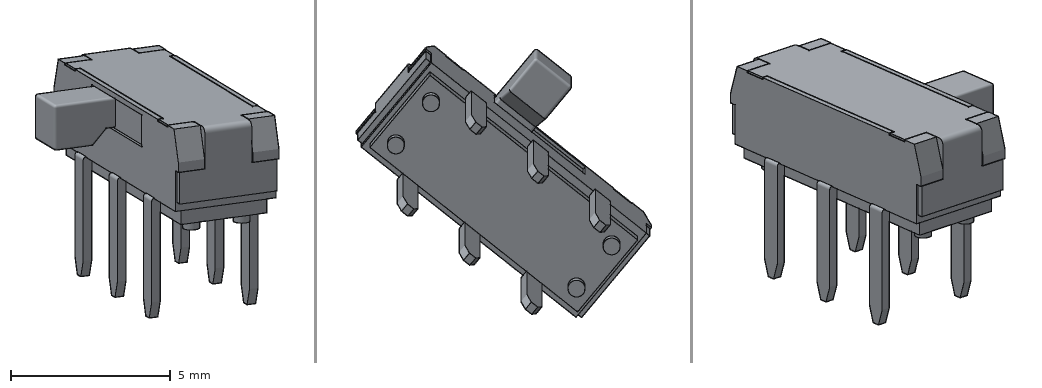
import cadquery as cq


clearance = 0.023

total_length = 9.1
shell_depth = 3.49
shell_height = 2.67
shell_lower_length = 8.68
ear_top_length = 8.46
ear_bottom_drop = 1.34
ear_taper_drop = 1.02
ear_inner_x = 3.76
ear_inner_y = 0.84

core_length = 9.045
core_depth = 3.385
core_neck_depth = 2 * (ear_inner_y - clearance)
core_bottom_drop = 2.38
core_edge_radius = 0.2

groove_depth = 0.06
rail_length = 6.03
rail_thickness = 0.18

base_length = 8.39
base_depth = 2.985
base_height = 0.5
peg_diameter = 0.54
peg_length = 0.33
peg_spacing_x = 7.3
peg_spacing_y = 1.75

window_length = 3.67
window_center_x = 0.04
window_height = 1.05
window_top_drop = 0.17
window_depth = 0.1
knob_width = 1.48
knob_center_x = -1.01
knob_tip_y = -3.75
knob_top_drop = 0.2
knob_height = 1.48
knob_neck_height = 0.99
knob_slope_start_y = -1.94
knob_slope_end_y = -2.41
knob_edge_radius = 0.09
knob_embed_depth = 0.1

pin_pitch = 2.5
pin_width = 0.61
pin_tip_width = 0.255
pin_thickness = 0.3
pin_span = 3.695
pin_bottom_z = -3.94
pin_taper_height = 0.555
pin_bend_top_z = 0.03
pin_bend_radius = 0.12

SIDES = (-1, 1)
half_shell_depth = shell_depth / 2


def block(x_range, y_range, z_range):
    """Axis-aligned box given by the two limits along each axis, in either order."""
    ranges = (x_range, y_range, z_range)
    sizes = [abs(limits[1] - limits[0]) for limits in ranges]
    lowest = [min(limits) for limits in ranges]
    return cq.Workplane("XY").box(*sizes, centered=False).translate(tuple(lowest))


def centered_block(length, depth, bottom_z, top_z):
    return block((-length / 2, length / 2), (-depth / 2, depth / 2), (bottom_z, top_z))


def make_shell():
    """Shell profile with tapered ears, opened between the ears to receive the core."""
    ear_bottom_z = shell_height - ear_bottom_drop
    right_profile = [
        (shell_lower_length / 2, 0),
        (shell_lower_length / 2, ear_bottom_z),
        (total_length / 2, ear_bottom_z),
        (total_length / 2, shell_height - ear_taper_drop),
        (ear_top_length / 2, shell_height),
    ]
    left_profile = [(-x, z) for x, z in reversed(right_profile)]
    shell = (
        cq.Workplane("XZ")
        .polyline(right_profile + left_profile)
        .close()
        .extrude(half_shell_depth, both=True)
    )
    for side in SIDES:
        shell = shell.cut(block(
            (side * (ear_inner_x - clearance), side * total_length / 2),
            (-ear_inner_y, ear_inner_y),
            (ear_bottom_z, shell_height),
        ))
    return shell


def make_core():
    """Rounded neck between the ears, widening to a plate under them."""
    bottom_z = shell_height - core_bottom_drop
    neck = centered_block(core_length, core_neck_depth, bottom_z, shell_height)
    neck = neck.faces(">Z").edges("|Y").fillet(core_edge_radius)
    plate = centered_block(core_length, core_depth, bottom_z, shell_height - ear_bottom_drop)
    return neck.union(plate)


def make_top_grooves():
    """Shallow clearances beside the ears, along the rails and over the open shell edges."""
    z_range = (shell_height - groove_depth, shell_height)
    rail_end_x = rail_length / 2
    rail_inner_y = half_shell_depth - rail_thickness
    grooves = cq.Workplane("XY")
    for side_y in SIDES:
        grooves = grooves.union(block(
            (-rail_end_x - clearance, rail_end_x + clearance),
            (side_y * (rail_inner_y - clearance), side_y * rail_inner_y),
            z_range,
        ))
        for side_x in SIDES:
            beside_ear = block(
                (side_x * (ear_inner_x - clearance), side_x * ear_inner_x),
                (side_y * core_neck_depth / 2, side_y * half_shell_depth),
                z_range,
            )
            rail_end = block(
                (side_x * rail_end_x, side_x * (rail_end_x + clearance)),
                (side_y * (rail_inner_y - clearance), side_y * half_shell_depth),
                z_range,
            )
            shell_edge = block(
                (side_x * rail_end_x, side_x * ear_inner_x),
                (side_y * (half_shell_depth - clearance), side_y * half_shell_depth),
                z_range,
            )
            grooves = grooves.union(beside_ear).union(rail_end).union(shell_edge)
    return grooves


def make_window():
    """Shallow recess in the front wall along which the knob travels."""
    top_z = shell_height - window_top_drop
    return block(
        (window_center_x - window_length / 2, window_center_x + window_length / 2),
        (-half_shell_depth, -half_shell_depth + window_depth),
        (top_z - window_height, top_z),
    )


def make_knob():
    """Actuator knob: a thin neck at the wall that slopes down to a deeper head."""
    top_z = shell_height - knob_top_drop
    root_y = -half_shell_depth + window_depth + knob_embed_depth
    profile = [
        (root_y, top_z),
        (knob_tip_y, top_z),
        (knob_tip_y, top_z - knob_height),
        (knob_slope_end_y, top_z - knob_height),
        (knob_slope_start_y, top_z - knob_neck_height),
        (root_y, top_z - knob_neck_height),
    ]
    knob = (
        cq.Workplane("YZ", origin=(knob_center_x, 0, 0))
        .polyline(profile)
        .close()
        .extrude(knob_width / 2, both=True)
    )
    side_edges = knob.faces("<X or >X").edges("not >Y")
    tip_edges = knob.faces("<Y").edges("|X")
    return knob.newObject(side_edges.vals() + tip_edges.vals()).fillet(knob_edge_radius)


def make_base():
    """Base block with four locating pegs underneath."""
    pegs = (
        cq.Workplane("XY", origin=(0, 0, -base_height))
        .rect(peg_spacing_x, peg_spacing_y, forConstruction=True)
        .vertices()
        .circle(peg_diameter / 2)
        .extrude(-peg_length)
    )
    return centered_block(base_length, base_depth, -base_height, 0).union(pegs)


def make_pin(center_x, side_y):
    """Flat pin with a tapered tip, its outer top edge rounded by the bend."""
    taper_z = pin_bottom_z + pin_taper_height
    half_width = pin_width / 2
    half_tip = pin_tip_width / 2
    pin = (
        cq.Workplane("XZ")
        .polyline([
            (-half_width, pin_bend_top_z),
            (half_width, pin_bend_top_z),
            (half_width, taper_z),
            (half_tip, pin_bottom_z),
            (-half_tip, pin_bottom_z),
            (-half_width, taper_z),
        ])
        .close()
        .extrude(pin_thickness / 2, both=True)
    )
    pin = pin.faces(">Z").edges(">Y" if side_y > 0 else "<Y").fillet(pin_bend_radius)
    return pin.translate((center_x, side_y * (pin_span - pin_thickness) / 2, 0))


result = make_shell().union(make_core()).cut(make_top_grooves()).cut(make_window())
result = result.union(make_base()).union(make_knob())
for pin_x in (-pin_pitch, 0, pin_pitch):
    for pin_side in SIDES:
        result = result.union(make_pin(pin_x, pin_side))